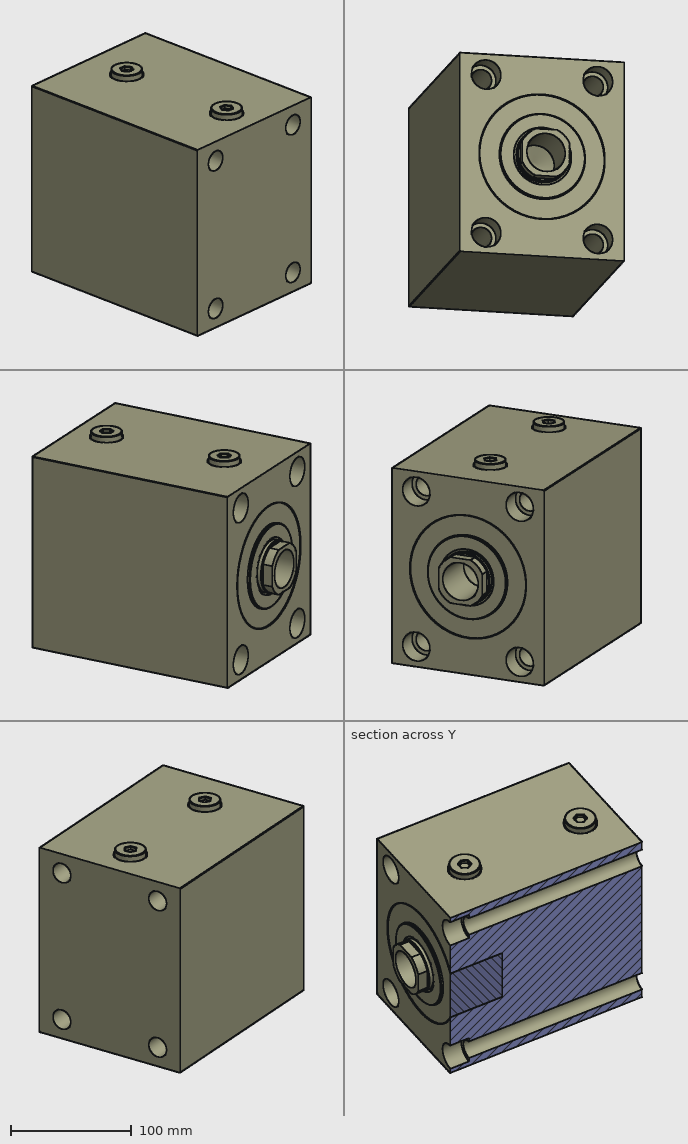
import cadquery as cq
import math

overall_length = 200.0
overall_height = 175.0

housing_length = 185.5
housing_width = 140.0
housing_height = 170.2
housing_edge_chamfer = 0.5
front_x = 0.0
axis_z = housing_height / 2

screw_spacing_y = 95.0
screw_spacing_z = 135.0
screw_hole_diameter = 17.5
counterbore_diameter = 25.0
counterbore_depth = 18.0

gland_diameter = 106.0
gland_depth = 50.0
bore_mouth_chamfer = 0.5
collar_diameter = 72.8
collar_height = 2.5
collar_chamfer = 0.8
wiper_recess_diameter = 49.0
wiper_recess_depth = 1.0

rod_diameter = 45.0
rod_chamfer = 0.8
head_diameter = 44.0
head_length = 8.8
head_flats = 40.0
rod_bore_diameter = 32.5
rod_bore_depth = 40.0
drill_point_angle = 118.0

rod_tip_x = front_x - (overall_length - housing_length)
rod_shoulder_x = rod_tip_x + head_length

first_plug_x = 42.5
plug_spacing = 112.0
plug_positions_x = (first_plug_x, first_plug_x + plug_spacing)
plug_diameter = 26.0
plug_top_z = overall_height
plug_chamfer = 0.5
plug_depth = 10.0
plug_seat_diameter = 28.0
plug_seat_depth = 1.0
socket_flats = 8.8
socket_depth = 3.0
socket_chamfer = 0.5
chamfer_taper = 45.0


def circle_x(diameter, x):
    """Circle around the rod axis, drawn at X = x, to be extruded along +X."""
    return cq.Workplane("YZ", origin=(x, 0, axis_z)).circle(diameter / 2)


def cylinder_x(diameter, start_x, end_x):
    """Cylinder along the rod axis between two X positions."""
    return circle_x(diameter, start_x).extrude(end_x - start_x)


def hexagon(plane, flats):
    """Hexagon sketch with two corners in line with the Y axis."""
    corner_diameter = flats / math.cos(math.pi / 6)
    return plane.transformed(rotate=(0, 0, 90)).polygon(6, corner_diameter)


def make_housing():
    block = cq.Workplane("XY", origin=(front_x, 0, 0)).box(
        housing_length, housing_width, housing_height, centered=(False, True, False)
    )
    block = block.edges("|X").chamfer(housing_edge_chamfer)

    block = (
        block.faces("<X")
        .workplane(centerOption="CenterOfMass")
        .rect(screw_spacing_y, screw_spacing_z, forConstruction=True)
        .vertices()
        .cboreHole(screw_hole_diameter, counterbore_diameter, counterbore_depth)
    )

    block = block.cut(cylinder_x(gland_diameter, front_x, front_x + gland_depth))
    mouth_diameter = gland_diameter + 2 * bore_mouth_chamfer
    mouth = circle_x(mouth_diameter, front_x).extrude(bore_mouth_chamfer, taper=chamfer_taper)
    block = block.cut(mouth)

    for x in plug_positions_x:
        top = cq.Workplane("XY", origin=(x, 0, housing_height))
        block = block.cut(top.circle(plug_diameter / 2).extrude(-plug_depth))
        block = block.cut(top.circle(plug_seat_diameter / 2).extrude(-plug_seat_depth))
    return block


def make_gland():
    collar_x = front_x - collar_height
    inner_x = front_x + gland_depth
    disc = cylinder_x(gland_diameter, front_x, inner_x)
    collar = cylinder_x(collar_diameter, collar_x, front_x).faces("<X").chamfer(collar_chamfer)
    gland = disc.union(collar)
    gland = gland.cut(cylinder_x(rod_diameter, collar_x, inner_x))
    return gland.cut(cylinder_x(wiper_recess_diameter, collar_x, collar_x + wiper_recess_depth))


def make_rod_bore():
    """Blind bore with a conical drill point."""
    bore_radius = rod_bore_diameter / 2
    bore_end_x = rod_tip_x + rod_bore_depth
    point_length = bore_radius / math.tan(math.radians(drill_point_angle / 2))
    return (
        cq.Workplane("XZ", origin=(0, 0, axis_z))
        .moveTo(rod_tip_x, 0)
        .lineTo(rod_tip_x, bore_radius)
        .lineTo(bore_end_x, bore_radius)
        .lineTo(bore_end_x + point_length, 0)
        .close()
        .revolve(360, (0, 0, 0), (1, 0, 0))
    )


def make_rod():
    shank = cylinder_x(rod_diameter, rod_shoulder_x, front_x + gland_depth)
    shank = shank.faces("<X").chamfer(rod_chamfer)
    flats = (
        cq.Workplane("YZ", origin=(rod_tip_x, 0, axis_z))
        .rect(head_flats, head_flats)
        .extrude(head_length)
    )
    head = cylinder_x(head_diameter, rod_tip_x, rod_shoulder_x).intersect(flats)
    return shank.union(head).cut(make_rod_bore())


def make_plug(x):
    bottom_z = housing_height - plug_depth
    plug = (
        cq.Workplane("XY", origin=(x, 0, bottom_z))
        .circle(plug_diameter / 2)
        .extrude(plug_top_z - bottom_z)
        .faces(">Z")
        .chamfer(plug_chamfer)
    )
    top = cq.Workplane("XY", origin=(x, 0, plug_top_z))
    socket = hexagon(top, socket_flats).extrude(-socket_depth)
    mouth_flats = socket_flats + 2 * socket_chamfer
    mouth = hexagon(top, mouth_flats).extrude(-socket_chamfer, taper=chamfer_taper)
    return plug.cut(socket).cut(mouth)


housing = make_housing()
gland = make_gland()
rod = make_rod()
plugs = [make_plug(x) for x in plug_positions_x]

result = cq.Compound.makeCompound(
    [housing.val(), gland.val(), rod.val(), *[plug.val() for plug in plugs]]
)